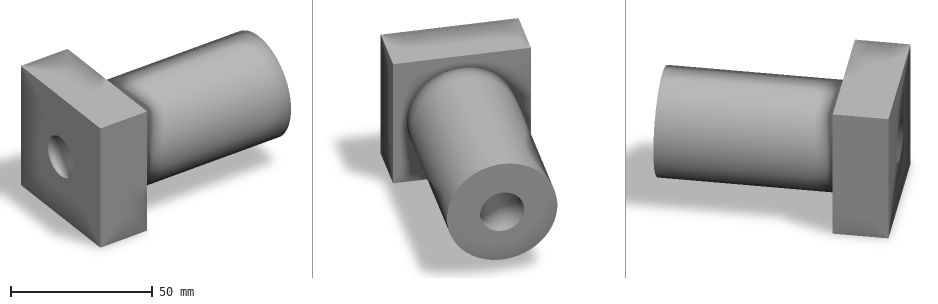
import cadquery as cq

total_length = 85.0
head_side = 50.0
head_thickness = 20.0
shank_diameter = 40.0
bore_diameter = 16.0

shank_length = total_length - head_thickness

head = cq.Workplane("XZ").rect(head_side, head_side).extrude(-head_thickness)

shank = (
    cq.Workplane("XZ", origin=(0, head_thickness, 0))
    .circle(shank_diameter / 2)
    .extrude(-shank_length)
)

bore = cq.Workplane("XZ").circle(bore_diameter / 2).extrude(-total_length)

result = head.union(shank).cut(bore)